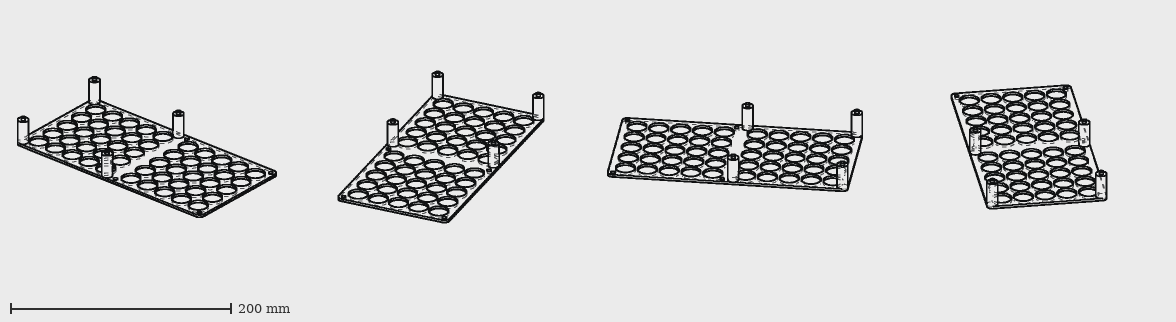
import cadquery as cq

plate_length = 220.0
plate_width = plate_length / 2
plate_thickness = 2.5
overall_height = 27.5
pin_height = 2.5

window_diameter = 18.0
pin_diameter = 4.0

window_pitch = plate_length / 11
windows_per_side = 5
corner_inset = window_pitch / 4
post_diameter = 2 * corner_inset
field_span = windows_per_side * window_pitch
field_offset = plate_length / 2 - corner_inset - field_span / 2
post_top = overall_height - pin_height


def field_corners(center_x):
    """Fixing points at the four corners of one field."""
    half = field_span / 2
    return [(center_x + sx * half, sy * half) for sx in (-1, 1) for sy in (-1, 1)]


def cylinders(points, diameter, height):
    """Upright cylinders standing on the plate's underside plane."""
    return cq.Workplane("XY").pushPoints(points).circle(diameter / 2).extrude(height)


plate = (
    cq.Workplane("XY")
    .rect(plate_length, plate_width)
    .extrude(plate_thickness)
    .edges("|Z")
    .fillet(corner_inset)
)

for center_x in (-field_offset, field_offset):
    windows = (
        cq.Workplane("XY")
        .center(center_x, 0)
        .rarray(window_pitch, window_pitch, windows_per_side, windows_per_side)
        .circle(window_diameter / 2)
        .extrude(plate_thickness)
    )
    plate = plate.cut(windows)

plate = plate.cut(cylinders(field_corners(field_offset), pin_diameter, plate_thickness))

post_points = field_corners(-field_offset)
posts = cylinders(post_points, post_diameter, post_top)
pins = cylinders(post_points, pin_diameter, overall_height)

result = plate.union(posts).union(pins)